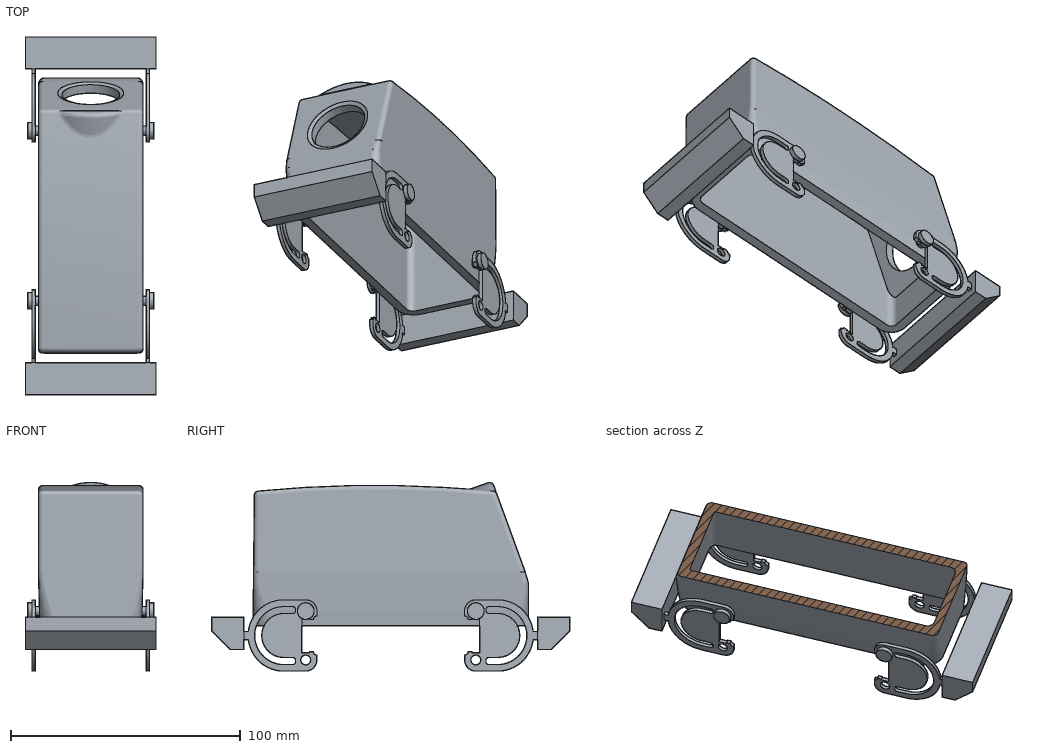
import cadquery as cq
import math

HALF_WIDTH = 22.85
DRAFT_LINE_Z = 23.6
BAND_Z = 6.75
BAND_HALF_WIDTH = 22.4
RIM_HALF_WIDTH = 21.85
REAR_Y = 60.1
FRONT_Y = -60.1
FRONT_DRAFT = 0.6
REAR_KINK_Z = 18.5
REAR_SLOPE_BASE_Y = 58.6
REAR_SLOPE_TILT = 20.0
ROOF_CREST_Y = -7.1
ROOF_CREST_Z = 61.3
ROOF_RADIUS = 515.0
EDGE_FILLET = 2.0
RIM_CORNER_RADIUS = 7.8
BAND_CORNER_RADIUS = 5.8
KINK_CORNER_RADIUS = 2.6
MID_CORNER_RADIUS = 3.8
MID_CORNER_Z = 13.0
WALL = 4.0
REAR_SLOPE_WALL = 4.7
FRONT_FACING = 0.03
CAVITY_CORNER_RADIUS = 3.0

ENTRY_Z = 37.7
ENTRY_DIAMETER = 25.2
ENTRY_CHAMFER_DIAMETER = 28.8
ENTRY_CHAMFER_DEPTH = 0.7
COLLAR_RADIUS = 23.0
COLLAR_TIP = 27.09
COLLAR_HEIGHT = 5.0
COLLAR_LENGTH = 12.0
COLLAR_FILLET = 2.0
COLLAR_BLEND = 2.5

LEVER_MID_Z = -4.18
LEVER_RADIUS = 15.55
LEVER_ARC_Y = 46.65
LEVER_INNER_X = 24.1
LEVER_THICKNESS = 1.6
LOBE_RADIUS = 4.9
PIVOT_Y = 37.05
PIVOT_OFFSET = LEVER_RADIUS - LOBE_RADIUS
LEVER_EDGE_Y = 38.75
NOTCH_OFFSET = 7.45
LIP_OFFSET = 7.0
LIP_Y = 35.4
LIP_FILLET = 1.5
PIVOT_HOLE_DIAMETER = 4.2
SLIT_OUTER_RADIUS = 12.6
SLIT_INNER_RADIUS = 9.6
SLIT_END_Y = 41.5
SLIT_END_FILLET = 1.2
PIN_HEAD_DIAMETER = 7.3
PIN_HEAD_THICKNESS = 1.85
PIN_EMBEDDING = 2.4
PIN_ROOT_X = HALF_WIDTH - PIN_EMBEDDING

HANDLE_LENGTH = 57.0
HANDLE_OUTER_Y = 78.0
HANDLE_DEPTH = 14.0
HANDLE_TOP_Z = 3.85
HANDLE_HEIGHT = 14.2
HANDLE_CHAMFER = 8.1
NECK_WIDTH = 3.7

CORNER_ITERATIONS = 10
SLOPE_RUN = math.tan(math.radians(REAR_SLOPE_TILT))


def slope_y(z):
    """Y of the sloped rear face at height z."""
    return REAR_SLOPE_BASE_Y - (z - DRAFT_LINE_Z) * SLOPE_RUN


def front_y(z):
    """Y of the front wall at height z."""
    return FRONT_Y + z * math.tan(math.radians(FRONT_DRAFT))


def roof_z(y):
    """Height of the arched roof at y."""
    return ROOF_CREST_Z - ROOF_RADIUS + math.sqrt(ROOF_RADIUS**2 - (y - ROOF_CREST_Y) ** 2)


def roof_corner(roof_inset=0.0, slope_inset=0.0):
    """Point where the roof meets the sloped rear face, each moved inward by its inset."""
    slope_shift = slope_inset / math.cos(math.radians(REAR_SLOPE_TILT))
    z = ROOF_CREST_Z - roof_inset
    for _ in range(CORNER_ITERATIONS):
        y = slope_y(z) - slope_shift
        z = roof_z(y) - roof_inset
    return y, z


def rounded_section(z, half_width, rear_y, corner_radius):
    """Horizontal hood outline at height z."""
    return (
        cq.Sketch()
        .push([(0, (rear_y + front_y(z)) / 2)])
        .rect(2 * half_width, rear_y - front_y(z))
        .reset()
        .vertices()
        .fillet(corner_radius)
        .moved(cq.Location(cq.Vector(0, 0, z)))
    )


def hood_upper():
    rear_top = roof_corner()
    front_top_y = front_y(roof_z(FRONT_Y))
    front_top = (front_top_y, roof_z(front_top_y))
    block = (
        cq.Workplane("YZ")
        .moveTo(front_y(DRAFT_LINE_Z), DRAFT_LINE_Z)
        .lineTo(REAR_SLOPE_BASE_Y, DRAFT_LINE_Z)
        .lineTo(*rear_top)
        .threePointArc((ROOF_CREST_Y, ROOF_CREST_Z), front_top)
        .close()
        .extrude(HALF_WIDTH, both=True)
    )
    block = block.faces("<Y or >Y").edges("not |X").fillet(EDGE_FILLET)
    return block.faces(">Z").edges().fillet(EDGE_FILLET)


def hood_lower():
    def side_x(z):
        return BAND_HALF_WIDTH + (HALF_WIDTH - BAND_HALF_WIDTH) * (z - BAND_Z) / (DRAFT_LINE_Z - BAND_Z)

    top = rounded_section(DRAFT_LINE_Z, HALF_WIDTH, REAR_SLOPE_BASE_Y, EDGE_FILLET)
    kink = rounded_section(REAR_KINK_Z, side_x(REAR_KINK_Z), REAR_Y, KINK_CORNER_RADIUS)
    middle = rounded_section(MID_CORNER_Z, side_x(MID_CORNER_Z), REAR_Y, MID_CORNER_RADIUS)
    band = rounded_section(BAND_Z, BAND_HALF_WIDTH, REAR_Y, BAND_CORNER_RADIUS)
    rim = rounded_section(0, RIM_HALF_WIDTH, REAR_Y, RIM_CORNER_RADIUS)
    shoulder = cq.Workplane().placeSketch(kink, top).loft(ruled=True)
    skirt = cq.Workplane().placeSketch(band, middle, kink).loft()
    lower_band = cq.Workplane().placeSketch(rim, band).loft(ruled=True)
    return shoulder.union(skirt).union(lower_band)


def cavity():
    rear_top = roof_corner(WALL, REAR_SLOPE_WALL)
    inner_front_y = FRONT_Y + WALL
    slope_shift = REAR_SLOPE_WALL / math.cos(math.radians(REAR_SLOPE_TILT))
    return (
        cq.Workplane("YZ")
        .moveTo(inner_front_y, 0)
        .lineTo(REAR_Y - WALL, 0)
        .lineTo(REAR_Y - WALL, REAR_KINK_Z)
        .lineTo(slope_y(DRAFT_LINE_Z) - slope_shift, DRAFT_LINE_Z)
        .lineTo(*rear_top)
        .threePointArc((ROOF_CREST_Y, ROOF_CREST_Z - WALL), (inner_front_y, roof_z(inner_front_y) - WALL))
        .close()
        .extrude(RIM_HALF_WIDTH - WALL, both=True)
        .edges("|Z")
        .fillet(CAVITY_CORNER_RADIUS)
    )


def entry_plane():
    """Plane on the sloped rear face; local y runs up the slope, local z points outward."""
    tilt = math.radians(REAR_SLOPE_TILT)
    return cq.Plane(
        origin=(0, slope_y(ENTRY_Z), ENTRY_Z),
        xDir=(-1, 0, 0),
        normal=(0, math.cos(tilt), math.sin(tilt)),
    )


def collar():
    """Rounded hump that carries the entry face above the roof."""
    half_chord = math.sqrt(COLLAR_RADIUS**2 - (COLLAR_RADIUS - COLLAR_HEIGHT) ** 2)
    base = COLLAR_TIP - COLLAR_HEIGHT
    return (
        cq.Workplane(entry_plane())
        .moveTo(-half_chord, base)
        .threePointArc((0, COLLAR_TIP), (half_chord, base))
        .close()
        .extrude(-COLLAR_LENGTH)
        .edges(cq.selectors.NearestToPointSelector(
            entry_plane().toWorldCoords((0, COLLAR_TIP, 0)).toTuple()))
        .fillet(COLLAR_FILLET)
    )


def front_facing():
    """Material ahead of the flat front wall."""
    top_z = ROOF_CREST_Z
    return (
        cq.Workplane("YZ")
        .moveTo(front_y(0) + FRONT_FACING, 0)
        .lineTo(front_y(top_z) + FRONT_FACING, top_z)
        .lineTo(FRONT_Y - WALL, top_z)
        .lineTo(FRONT_Y - WALL, 0)
        .close()
        .extrude(2 * HALF_WIDTH, both=True)
    )


def hood_with_collar():
    """Upper hood with the collar blended into the roof."""
    collar_toe = entry_plane().toWorldCoords((0, COLLAR_TIP, -COLLAR_LENGTH)).toTuple()
    return (
        hood_upper()
        .union(collar())
        .edges(cq.selectors.NearestToPointSelector(collar_toe))
        .fillet(COLLAR_BLEND)
    )


def entry_hole():
    bore = cq.Workplane(entry_plane()).circle(ENTRY_DIAMETER / 2).extrude(-2 * REAR_SLOPE_WALL)
    chamfer = (
        cq.Workplane(entry_plane())
        .circle(ENTRY_CHAMFER_DIAMETER / 2)
        .workplane(offset=-ENTRY_CHAMFER_DEPTH)
        .circle(ENTRY_DIAMETER / 2)
        .loft()
    )
    return bore.union(chamfer)


def lever_lobe_notch(side):
    """Clearance between the lobes; side is +1 for the upper half and -1 for the lower half."""
    end_y = PIVOT_Y - LOBE_RADIUS
    mid = LEVER_MID_Z
    return (
        cq.Workplane("YZ")
        .moveTo(LEVER_EDGE_Y, mid)
        .lineTo(LEVER_EDGE_Y, mid + side * NOTCH_OFFSET)
        .lineTo(LIP_Y, mid + side * NOTCH_OFFSET)
        .lineTo(LIP_Y, mid + side * LIP_OFFSET)
        .lineTo(end_y + LIP_FILLET, mid + side * LIP_OFFSET)
        .radiusArc((end_y, mid + side * (LIP_OFFSET + LIP_FILLET)), -side * LIP_FILLET)
        .lineTo(end_y, mid)
        .close()
        .extrude(LEVER_THICKNESS)
    )


def lever_slit():
    """C-shaped slit that follows the round end of the lever."""
    mid = LEVER_MID_Z
    outer = SLIT_OUTER_RADIUS
    inner = SLIT_INNER_RADIUS
    return (
        cq.Workplane("YZ")
        .moveTo(SLIT_END_Y, mid + outer)
        .lineTo(LEVER_ARC_Y, mid + outer)
        .threePointArc((LEVER_ARC_Y + outer, mid), (LEVER_ARC_Y, mid - outer))
        .lineTo(SLIT_END_Y, mid - outer)
        .lineTo(SLIT_END_Y, mid - inner)
        .lineTo(LEVER_ARC_Y, mid - inner)
        .threePointArc((LEVER_ARC_Y + inner, mid), (LEVER_ARC_Y, mid + inner))
        .lineTo(SLIT_END_Y, mid + inner)
        .close()
        .extrude(LEVER_THICKNESS)
        .edges("|X and <Y")
        .fillet(SLIT_END_FILLET)
    )


def lever():
    """Lever plate of the +X, +Y corner."""
    mid = LEVER_MID_Z
    end_y = PIVOT_Y - LOBE_RADIUS
    plate = (
        cq.Workplane("YZ")
        .moveTo(PIVOT_Y, mid + LEVER_RADIUS)
        .lineTo(LEVER_ARC_Y, mid + LEVER_RADIUS)
        .threePointArc((LEVER_ARC_Y + LEVER_RADIUS, mid), (LEVER_ARC_Y, mid - LEVER_RADIUS))
        .lineTo(PIVOT_Y, mid - LEVER_RADIUS)
        .radiusArc((end_y, mid - PIVOT_OFFSET), LOBE_RADIUS)
        .lineTo(end_y, mid + PIVOT_OFFSET)
        .radiusArc((PIVOT_Y, mid + LEVER_RADIUS), LOBE_RADIUS)
        .close()
        .extrude(LEVER_THICKNESS)
    )
    neck_start = LEVER_ARC_Y + (SLIT_OUTER_RADIUS + LEVER_RADIUS) / 2
    neck_end = HANDLE_OUTER_Y - HANDLE_DEPTH / 2
    neck = (
        cq.Workplane("YZ")
        .center((neck_start + neck_end) / 2, mid)
        .rect(neck_end - neck_start, NECK_WIDTH)
        .extrude(LEVER_THICKNESS)
    )
    lower_hole = (
        cq.Workplane("YZ")
        .center(PIVOT_Y, mid - PIVOT_OFFSET)
        .circle(PIVOT_HOLE_DIAMETER / 2)
        .extrude(LEVER_THICKNESS)
    )
    plate = plate.union(neck).cut(lower_hole).cut(lever_slit())
    for side in (1, -1):
        plate = plate.cut(lever_lobe_notch(side))
    return plate.translate((LEVER_INNER_X, 0, 0))


def pivot_pin():
    """Headed pin that carries the +X, +Y lever on the hood wall."""
    outer_x = LEVER_INNER_X + LEVER_THICKNESS
    return (
        cq.Workplane("YZ", origin=(PIN_ROOT_X, PIVOT_Y, LEVER_MID_Z + PIVOT_OFFSET))
        .circle(PIVOT_HOLE_DIAMETER / 2)
        .extrude(outer_x - PIN_ROOT_X)
        .faces(">X")
        .workplane()
        .circle(PIN_HEAD_DIAMETER / 2)
        .extrude(PIN_HEAD_THICKNESS)
    )


def handle():
    """Handle bar at the +Y end."""
    return (
        cq.Workplane("XY")
        .box(HANDLE_LENGTH, HANDLE_DEPTH, HANDLE_HEIGHT)
        .translate((0, HANDLE_OUTER_Y - HANDLE_DEPTH / 2, HANDLE_TOP_Z - HANDLE_HEIGHT / 2))
        .edges(">Y and <Z")
        .chamfer(HANDLE_CHAMFER)
    )


hood = hood_with_collar().union(hood_lower()).cut(front_facing()).cut(cavity()).cut(entry_hole())

lever_and_pin = lever().union(pivot_pin())
lever_set = handle().union(lever_and_pin).union(lever_and_pin.mirror("YZ"))

result = hood.union(lever_set).union(lever_set.mirror("XZ"))